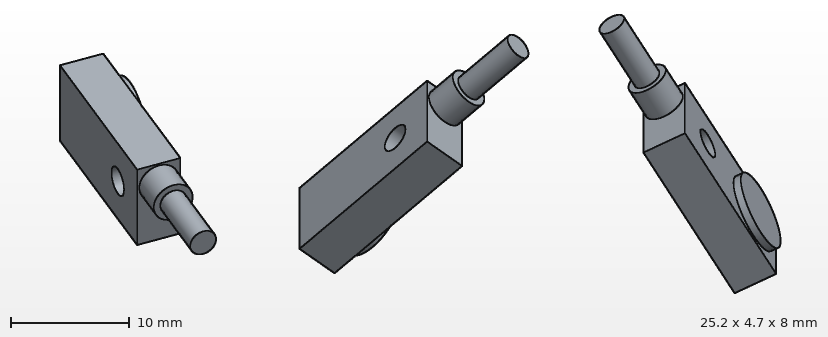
import cadquery as cq

body_length = 16.0
body_depth = 4.0
body_height = 8.0
mid_depth = body_depth / 2
mid_height = body_height / 2

pad_diameter = 7.0
pad_thickness = 0.7
pad_x = mid_height

hole_diameter = 2.6
hole_x = 12.0

overall_length = 25.2
sleeve_diameter = 3.6
sleeve_length = 3.0
cable_diameter = 2.4
cable_length = overall_length - body_length - sleeve_length
cable_z = 6.0


def cylinder_along_y(diameter, length, x, start_y):
    """Cylinder at mid height, running from start_y toward +Y."""
    base = cq.Workplane("XZ", origin=(x, start_y, mid_height))
    return base.circle(diameter / 2).extrude(-length)


def cylinder_along_x(diameter, length, start_x):
    """Cylinder on the cable axis, running from start_x toward +X."""
    base = cq.Workplane("YZ", origin=(start_x, mid_depth, cable_z))
    return base.circle(diameter / 2).extrude(length)


body = cq.Workplane("XY").box(body_length, body_depth, body_height, centered=False)
pad = cylinder_along_y(pad_diameter, pad_thickness, pad_x, body_depth)
mounting_hole = cylinder_along_y(hole_diameter, body_depth, hole_x, 0)
sleeve = cylinder_along_x(sleeve_diameter, sleeve_length, body_length)
cable = cylinder_along_x(cable_diameter, cable_length, body_length + sleeve_length)

result = body.cut(mounting_hole).union(pad).union(sleeve).union(cable)